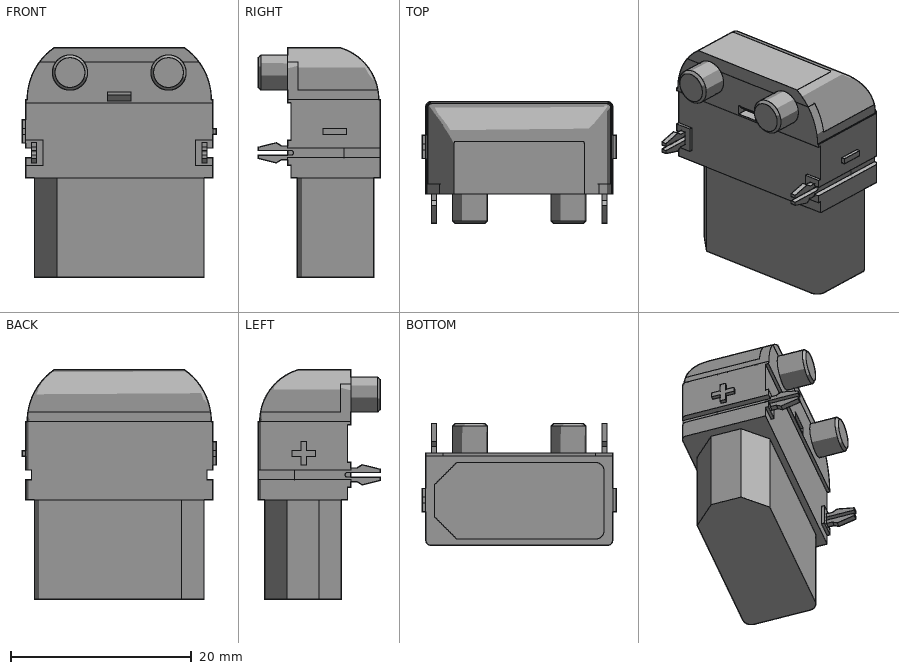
import cadquery as cq
import math


block_width = 20.7
block_height = 8.66
standoff = 0.35
back_y = 10.25
corner_radius = 0.6
half_width = block_width / 2

plug_width = 18.8
plug_depth = 8.5
plug_length = 11.0
plug_setback = 0.7
plug_chamfer = 2.5
plug_fillet = 1.0

dome_inset = 0.15
dome_top = 14.4
dome_side_radius = 7.0
dome_back_radius = 6.0
dome_corner_radius = corner_radius - dome_inset
split_height = 9.7

plate_thickness = 1.13
plate_bottom = 8.3
plate_top = 12.83

window_width = 2.6
window_bottom = 8.5
window_top = 9.52
window_step = 9.18
window_shallow = 0.3
window_deep = 1.2

clip_height_position = 2.77
groove_height = 1.05
groove_depth = 0.62
clip_thickness = 0.6
clip_inner_y = 6.25
stem_height = 1.56
barb_height = 2.25
tip_height = 1.25
stem_reach = 0.7
barb_reach = 1.25
lead_reach = 3.25
slot_width = 0.5
slot_inside = 0.65
pad_width = 1.92
pad_height = 2.8

pin_diameter = 3.9
pin_spacing = 10.9
pin_height_position = 11.65
pin_chamfer = 0.3

mark_length = 2.6
mark_width = 0.63
mark_relief = 0.4
mark_y = 5.22
mark_z = 5.13

SIDES = (-1, 1)


def box(x_range, y_range, z_range):
    """Box spanning the given ranges along X, Y and Z."""
    size = [high - low for low, high in (x_range, y_range, z_range)]
    corner = (x_range[0], y_range[0], z_range[0])
    return cq.Workplane("XY").box(*size, centered=False).translate(corner)


def side_box(side, inner, outer, y_range, z_range):
    """Box on the -X or +X side, between two distances from the middle."""
    x_range = sorted((side * inner, side * outer))
    return box(x_range, y_range, z_range)


def span(middle, length):
    """Range of the given length around a middle value."""
    return (middle - length / 2, middle + length / 2)


def arc_offset(radius, height):
    """Horizontal set-in of an arc, upright at its foot, at a height above the foot."""
    return radius - math.sqrt(radius ** 2 - height ** 2)


def make_dome():
    """Rounded top: the side outline crossed with the back outline."""
    rise = dome_top - block_height
    middle_height = block_height + rise / 2
    foot_x = half_width - dome_inset
    top_x = foot_x - arc_offset(dome_side_radius, rise)
    middle_x = foot_x - arc_offset(dome_side_radius, rise / 2)
    side_outline = (
        cq.Workplane("XZ")
        .moveTo(-foot_x, block_height)
        .lineTo(foot_x, block_height)
        .threePointArc((middle_x, middle_height), (top_x, dome_top))
        .lineTo(-top_x, dome_top)
        .threePointArc((-middle_x, middle_height), (-foot_x, block_height))
        .close()
        .extrude(-back_y)
    )
    foot_y = back_y - dome_inset
    top_y = foot_y - arc_offset(dome_back_radius, rise)
    middle_y = foot_y - arc_offset(dome_back_radius, rise / 2)
    back_outline = (
        cq.Workplane("YZ")
        .moveTo(0, block_height)
        .lineTo(foot_y, block_height)
        .threePointArc((middle_y, middle_height), (top_y, dome_top))
        .lineTo(0, dome_top)
        .close()
        .extrude(half_width, both=True)
    )
    dome = side_outline.intersect(back_outline)
    corner_edges = cq.selectors.BoxSelector(
        (-half_width, top_y - dome_inset, block_height), (half_width, back_y, dome_top)
    )
    miters = dome.edges(corner_edges).edges("not(|X or |Y)")
    return miters.fillet(dome_corner_radius)


def make_housing_zone():
    """Space of the dome that belongs to the housing: the rim and the front plate."""
    width = (-half_width, half_width)
    rim = box(width, (0, back_y), (block_height, split_height))
    plate = box(width, (0, plate_thickness), (block_height, plate_top))
    return rim.union(plate)


def make_block():
    """Main block with the rounded rear corners and the foot of the front plate."""
    width = (-half_width, half_width)
    block = box(width, (standoff, back_y), (0, block_height))
    block = block.edges("|Z and >Y").fillet(corner_radius)
    return block.union(box(width, (0, standoff), (plate_bottom, block_height)))


def make_plug():
    """Keyed plug below the block."""
    y_front = standoff + plug_setback
    plug = box(span(0, plug_width), (y_front, y_front + plug_depth), (-plug_length, 0))
    plug = plug.edges("|Z and <X").chamfer(plug_chamfer)
    return plug.edges("|Z and >X").fillet(plug_fillet)


def make_window():
    """Latch window: flat floor, back face sloping forward to a shallow top."""
    return (
        cq.Workplane("YZ")
        .polyline([
            (0, window_bottom),
            (window_deep, window_bottom),
            (window_shallow, window_step),
            (window_shallow, window_top),
            (0, window_top),
        ])
        .close()
        .extrude(window_width / 2, both=True)
    )


def make_mark(side, length_y, length_z):
    """One raised bar on a side face."""
    return side_box(
        side, half_width, half_width + mark_relief, span(mark_y, length_y), span(mark_z, length_z)
    )


def make_clip_blank(side):
    """Barbed clip pointing out of the mounting face, without its slot."""
    half_profile = [
        (clip_inner_y, stem_height / 2),
        (-stem_reach, stem_height / 2),
        (-barb_reach, barb_height / 2),
        (-lead_reach, tip_height / 2),
    ]
    mirrored = [(y, -z) for y, z in reversed(half_profile)]
    outer_x = half_width - groove_depth
    blank = cq.Workplane("YZ").polyline(half_profile + mirrored).close().extrude(clip_thickness)
    left_x = -outer_x if side < 0 else outer_x - clip_thickness
    return blank.translate((left_x, 0, clip_height_position))


def make_clip(side):
    """Clip with the round-ended slot between its prongs."""
    slot_radius = slot_width / 2
    slot_end_y = slot_inside - slot_radius
    slot = box(
        (-half_width, half_width),
        (-lead_reach, slot_end_y),
        span(clip_height_position, slot_width),
    )
    slot_end = (
        cq.Workplane("YZ")
        .center(slot_end_y, clip_height_position)
        .circle(slot_radius)
        .extrude(half_width, both=True)
    )
    return make_clip_blank(side).cut(slot).cut(slot_end)


def make_pin(side):
    """Round pin seated through the front plate."""
    pin = (
        cq.Workplane("XZ")
        .circle(pin_diameter / 2)
        .extrude(plate_thickness + lead_reach)
        .faces("<Y")
        .chamfer(pin_chamfer)
    )
    return pin.translate((side * pin_spacing / 2, plate_thickness, pin_height_position))


def make_housing(dome):
    """Block, plug, rim, front plate, pads, grooves, clip pockets and marks."""
    rim_and_plate = dome.intersect(make_housing_zone())
    housing = make_block().union(make_plug()).union(rim_and_plate)
    for side in SIDES:
        pad = side_box(
            side,
            half_width - pad_width,
            half_width,
            (0, standoff),
            span(clip_height_position, pad_height),
        )
        groove = side_box(
            side,
            half_width - groove_depth,
            half_width,
            (0, back_y),
            span(clip_height_position, groove_height),
        )
        housing = housing.union(pad).cut(groove).cut(make_clip_blank(side))
    housing = housing.cut(make_window())
    plus = make_mark(-1, mark_length, mark_width).union(make_mark(-1, mark_width, mark_length))
    minus = make_mark(1, mark_length, mark_width)
    return housing.union(plus).union(minus)


dome = make_dome()
cap = dome.cut(make_housing_zone())
housing = make_housing(dome)
pins = [make_pin(side) for side in SIDES]
clips = [make_clip(side) for side in SIDES]

for pin in pins:
    housing = housing.cut(pin)
    cap = cap.cut(pin)

result = cq.Compound.makeCompound([
    housing.val(),
    cap.val(),
    *[pin.val() for pin in pins],
    *[clip.val() for clip in clips],
])